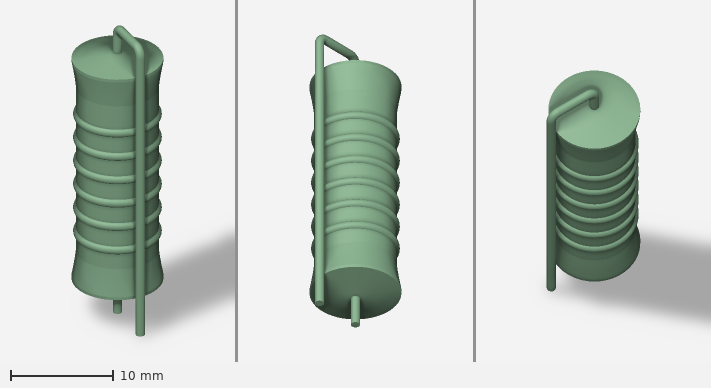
import cadquery as cq
import math

total_height = 32.25
wire_diameter = 0.9
total_width = 10.03
bend_radius = 0.85

body_center_z = 16.1
core_diameter = 8.1
rim_diameter = 9.0
core_length = 18.2
flare_length = 2.9
rim_thickness = 0.32
cone_height = 0.65
flare_sag = 0.03

ring_count = 6
ring_pitch = 2.6
lowest_ring_z = 9.1
ring_height = 0.87
ring_outer_diameter = 8.68

wire_radius = wire_diameter / 2
core_radius = core_diameter / 2
rim_radius = rim_diameter / 2
wire_spacing = total_width - rim_radius - wire_radius
cone_tip_radius = wire_radius
ring_radius = ring_outer_diameter / 2

core_end = core_length / 2
flare_end = core_end + flare_length
rim_end = flare_end + rim_thickness
cone_end = rim_end + cone_height


def make_body():
    """Ceramic core with winding beads and flared, rimmed, cone-capped ends."""
    flare_mid_radius = (core_radius + rim_radius) / 2 - flare_sag
    flare_mid = (core_end + flare_end) / 2

    profile = (
        cq.Workplane("XZ")
        .moveTo(0, body_center_z - cone_end)
        .lineTo(cone_tip_radius, body_center_z - cone_end)
        .lineTo(rim_radius, body_center_z - rim_end)
        .lineTo(rim_radius, body_center_z - flare_end)
        .threePointArc(
            (flare_mid_radius, body_center_z - flare_mid),
            (core_radius, body_center_z - core_end),
        )
    )
    for index in range(ring_count):
        ring_z = lowest_ring_z + index * ring_pitch
        profile = profile.lineTo(core_radius, ring_z - ring_height / 2).threePointArc(
            (ring_radius, ring_z),
            (core_radius, ring_z + ring_height / 2),
        )
    profile = (
        profile.lineTo(core_radius, body_center_z + core_end)
        .threePointArc(
            (flare_mid_radius, body_center_z + flare_mid),
            (rim_radius, body_center_z + flare_end),
        )
        .lineTo(rim_radius, body_center_z + rim_end)
        .lineTo(cone_tip_radius, body_center_z + cone_end)
        .lineTo(0, body_center_z + cone_end)
        .close()
    )
    return profile.revolve(360, (0, 0, 0), (0, 1, 0))


def make_wire():
    """Lead through the body axis, bent over the top and back down beside the body."""
    top_z = total_height - wire_radius
    bend_start_z = top_z - bend_radius
    corner_offset = bend_radius * (1 - math.sqrt(0.5))
    path = (
        cq.Workplane("XZ")
        .lineTo(0, bend_start_z)
        .threePointArc((corner_offset, top_z - corner_offset), (bend_radius, top_z))
        .lineTo(wire_spacing - bend_radius, top_z)
        .threePointArc(
            (wire_spacing - corner_offset, top_z - corner_offset),
            (wire_spacing, bend_start_z),
        )
        .lineTo(wire_spacing, 0)
    )
    return cq.Workplane("XY").circle(wire_radius).sweep(path)


result = make_body().union(make_wire())